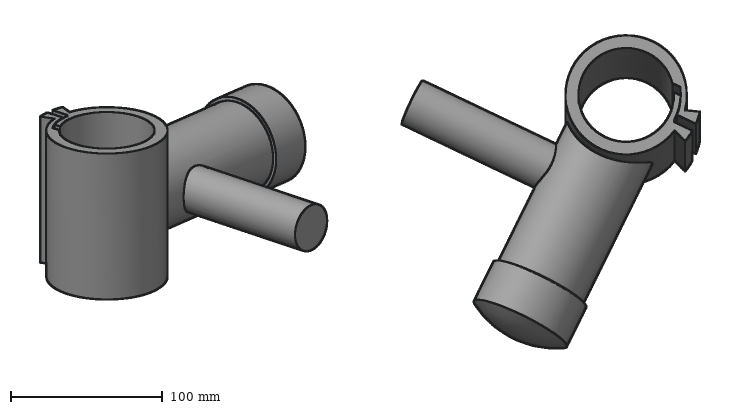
import cadquery as cq
import math

sleeve_height = 104.0
sleeve_radius = 40.0
bore_radius = 31.4

lug_radius = 49.8
lug_tip_y = 11.0
lug_flank_angle = 20.0
lug_root_x = -37.7
slot_half_width = 2.5
joint_radius = 36.0
joint_clearance = 0.2
tongue_radius = joint_radius - joint_clearance
tongue_end_y = -15.3
recess_end_y = -20.3
joint_fillet = 1.7

tube_radius = 31.4
cap_radius = 34.1
cap_start_y = 130.2
dome_start_y = 159.5
tube_end_y = 169.3

stub_radius = 16.1
stub_y = 57.0
stub_end_x = 128.7


def upright_cylinder(radius):
    return cq.Workplane("XY").circle(radius).extrude(sleeve_height / 2, both=True)


def upright_block(x_min, x_max, y_min, y_max):
    return (
        cq.Workplane("XY")
        .center((x_min + x_max) / 2, (y_min + y_max) / 2)
        .rect(x_max - x_min, y_max - y_min)
        .extrude(sleeve_height / 2, both=True)
    )


def make_lugs():
    """Flared pair of lugs as one block; the slot divides it later."""
    tip_x = -math.sqrt(lug_radius**2 - lug_tip_y**2)
    flank_slope = math.tan(math.radians(lug_flank_angle))
    root_y = lug_tip_y - (lug_root_x - tip_x) * flank_slope
    return (
        cq.Workplane("XY")
        .moveTo(lug_root_x, root_y)
        .lineTo(tip_x, lug_tip_y)
        .threePointArc((-lug_radius, 0), (tip_x, -lug_tip_y))
        .lineTo(lug_root_x, -root_y)
        .close()
        .extrude(sleeve_height / 2, both=True)
    )


def round_corner(body, surface_radius, corner_y):
    """Fillet the upright edge of a body where a flat meets a cylinder on the -X side."""
    corner_x = -math.sqrt(surface_radius**2 - corner_y**2)
    corner = cq.selectors.NearestToPointSelector((corner_x, corner_y, 0))
    return body.edges("|Z").edges(corner).fillet(joint_fillet)


def make_slot():
    """Gap between the lugs, ending at the outer face of the tongue."""
    slot = upright_block(-lug_radius, 0, -slot_half_width, slot_half_width)
    slot = slot.cut(upright_cylinder(tongue_radius))
    return round_corner(slot, tongue_radius, slot_half_width)


def make_recess():
    """Curved pocket in the lower wall that houses the tongue."""
    recess = upright_cylinder(joint_radius).intersect(
        upright_block(-joint_radius, 0, recess_end_y, 0)
    )
    return round_corner(recess, joint_radius, recess_end_y)


def make_tongue():
    """Thin finger from the upper lug that overlaps the wall of the lower lug."""
    return upright_cylinder(tongue_radius).intersect(
        upright_block(-joint_radius, 0, tongue_end_y, 0)
    )


def make_main_tube():
    """Solid of revolution about Y: tube, wider cap and spherical dome."""
    dome_height = tube_end_y - dome_start_y
    dome_radius = (cap_radius**2 + dome_height**2) / (2 * dome_height)
    middle_x = cap_radius / 2
    middle_y = tube_end_y - dome_radius + math.sqrt(dome_radius**2 - middle_x**2)
    return (
        cq.Workplane("XY")
        .lineTo(tube_radius, 0)
        .lineTo(tube_radius, cap_start_y)
        .lineTo(cap_radius, cap_start_y)
        .lineTo(cap_radius, dome_start_y)
        .threePointArc((middle_x, middle_y), (0, tube_end_y))
        .close()
        .revolve(360, (0, 0), (0, 1))
    )


stub = cq.Workplane("YZ").center(stub_y, 0).circle(stub_radius).extrude(stub_end_x)
wall_middle_radius = (sleeve_radius + bore_radius) / 2
arms = make_main_tube().union(stub).cut(upright_cylinder(wall_middle_radius))

clamp = upright_cylinder(sleeve_radius).union(make_lugs())
clamp = clamp.cut(make_slot()).cut(make_recess()).union(make_tongue())
clamp = clamp.cut(upright_cylinder(bore_radius))

result = clamp.union(arms)